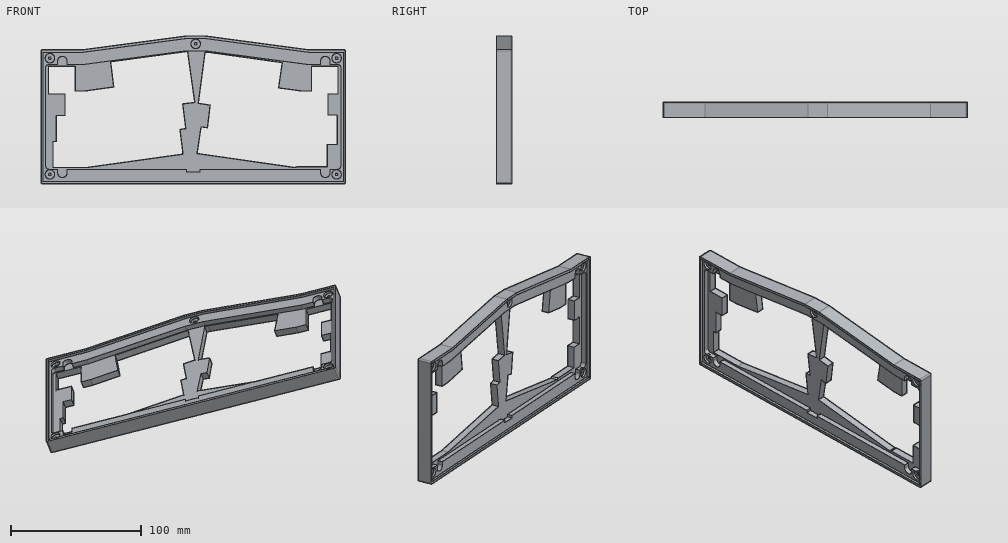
import cadquery as cq

LENGTH = 233.0
DEPTH = 12.0
PEAK_HEIGHT = 113.3
SHOULDER_HEIGHT = 102.8
CORNER_RADIUS = 1.2
BACK_RADIUS = 0.7

ARCH_CENTER = 1.9
CROWN_HALF = 7.5
ARCH_HALF = 86.2

RIM_SIDE = 1.51
RIM_ENDS = 2.0
LEDGE_Y = 2.0

PLATE_Y = 6.0
POCKET_SIDE = 113.0
POCKET_BOTTOM = 11.2
POCKET_TOP_DROP = 11.5
POCKET_RADIUS = 2.5

SLOT_WIDTH = 7.2
SLOT_REACH = 6.3
SLOT_LEFT = -100.2
SLOT_RIGHT = 101.1
NOTCH_WIDTH = 10.5
NOTCH_DEPTH = 2.0

SCREW_X = 109.8
SCREW_LOW = 7.2
SCREW_HIGH = 96.2
SCREW_CROWN = 107.2
BORE_DIAMETER = 7.2
BORE_DEPTH = 2.0
PILOT_DIAMETER = 2.0
PILOT_DEPTH = 6.0

WINDOW_SIDE = 110.7
WINDOW_TOP = 90.0
TAB_BOTTOM = 71.0
SIDE_TAB_TOP = 69.0


def prism(points, y_start, y_end):
    """Extrude an XZ outline from y_start to y_end."""
    plane = cq.Workplane("XZ", origin=(0, y_start, 0))
    return plane.polyline(points).close().extrude(y_start - y_end)


def arch_outline(left, right, bottom, drop):
    """Frame-shaped outline whose arched top sits `drop` below the outer one."""
    shoulder = SHOULDER_HEIGHT - drop
    peak = PEAK_HEIGHT - drop
    return [
        (left, bottom),
        (right, bottom),
        (right, shoulder),
        (ARCH_CENTER + ARCH_HALF, shoulder),
        (ARCH_CENTER + CROWN_HALF, peak),
        (ARCH_CENTER - CROWN_HALF, peak),
        (ARCH_CENTER - ARCH_HALF, shoulder),
        (left, shoulder),
    ]


def make_body():
    half = LENGTH / 2
    body = prism(arch_outline(-half, half, 0, 0), 0, DEPTH)
    body = body.edges("|Y and (<X or >X)").fillet(CORNER_RADIUS)
    return body.faces(">Y").edges().fillet(BACK_RADIUS)


def make_rim_recess():
    inner = LENGTH / 2 - RIM_SIDE
    return prism(arch_outline(-inner, inner, RIM_ENDS, RIM_ENDS), 0, LEDGE_Y)


def make_pocket():
    outline = arch_outline(-POCKET_SIDE, POCKET_SIDE, POCKET_BOTTOM, POCKET_TOP_DROP)
    pocket = prism(outline, 0, PLATE_Y)
    return pocket.edges("|Y and (<X or >X)").fillet(POCKET_RADIUS)


def make_slot(x, edge_z, direction):
    """Round-ended relief running from the pocket edge into the ledge."""
    radius = SLOT_WIDTH / 2
    straight = SLOT_REACH - radius
    overlap = POCKET_RADIUS
    return (
        cq.Workplane("XZ")
        .moveTo(x - radius, edge_z - direction * overlap)
        .lineTo(x - radius, edge_z + direction * straight)
        .threePointArc(
            (x, edge_z + direction * SLOT_REACH),
            (x + radius, edge_z + direction * straight),
        )
        .lineTo(x + radius, edge_z - direction * overlap)
        .close()
        .extrude(-PLATE_Y)
    )


def make_notch():
    half = NOTCH_WIDTH / 2
    low = POCKET_BOTTOM - NOTCH_DEPTH
    high = POCKET_BOTTOM + NOTCH_DEPTH
    return prism([(-half, low), (half, low), (half, high), (-half, high)], 0, PLATE_Y)


def make_screw_hole(x, z):
    plane = cq.Workplane("XZ", origin=(x, LEDGE_Y, z))
    bore = plane.circle(BORE_DIAMETER / 2).extrude(-BORE_DEPTH)
    pilot = plane.circle(PILOT_DIAMETER / 2).extrude(-PILOT_DEPTH)
    return bore.union(pilot)


LEFT_WINDOW = [
    (-WINDOW_SIDE, WINDOW_TOP),
    (-90.5, WINDOW_TOP),
    (-90.5, TAB_BOTTOM),
    (-82.7, TAB_BOTTOM),
    (-60.8, 74.0),
    (-63.2, 93.5),
    (-4.5, 101.4),
    (1.05, 62.5),
    (-8.2, 61.3),
    (-5.8, 42.5),
    (-10.3, 41.7),
    (-8.0, 22.8),
    (-81.5, 12.5),
    (-107.2, 12.5),
    (-107.2, 32.5),
    (-104.9, 32.5),
    (-104.9, 52.2),
    (-98.0, 52.2),
    (-98.0, SIDE_TAB_TOP),
    (-WINDOW_SIDE, SIDE_TAB_TOP),
]

RIGHT_WINDOW = [
    (9.0, 100.7),
    (11.7, 100.7),
    (68.0, 92.7),
    (65.3, 73.5),
    (82.7, TAB_BOTTOM),
    (90.7, TAB_BOTTOM),
    (90.7, WINDOW_TOP),
    (WINDOW_SIDE, WINDOW_TOP),
    (WINDOW_SIDE, SIDE_TAB_TOP),
    (103.0, SIDE_TAB_TOP),
    (103.0, 52.7),
    (110.2, 52.7),
    (110.2, 30.3),
    (102.5, 30.3),
    (102.5, 13.3),
    (79.7, 13.3),
    (77.8, 12.5),
    (3.0, 23.3),
    (6.0, 43.5),
    (11.0, 42.9),
    (13.0, 60.4),
    (4.0, 61.8),
]

pocket_top = SHOULDER_HEIGHT - POCKET_TOP_DROP
result = make_body().cut(make_rim_recess()).cut(make_pocket()).cut(make_notch())
for slot_x in (SLOT_LEFT, SLOT_RIGHT):
    result = result.cut(make_slot(slot_x, POCKET_BOTTOM, -1))
    result = result.cut(make_slot(slot_x, pocket_top, 1))
screws = [(side * SCREW_X, z) for side in (-1, 1) for z in (SCREW_LOW, SCREW_HIGH)]
for screw_x, screw_z in screws + [(ARCH_CENTER, SCREW_CROWN)]:
    result = result.cut(make_screw_hole(screw_x, screw_z))
for window in (LEFT_WINDOW, RIGHT_WINDOW):
    result = result.cut(prism(window, 0, DEPTH))